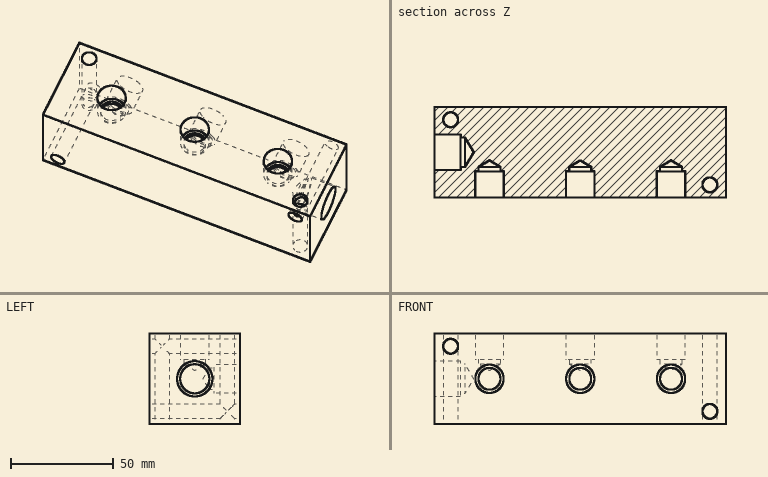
import cadquery as cq
import math

LENGTH = 142.9
SECTION = 44.5
HALF_LENGTH = LENGTH / 2
HALF_SECTION = SECTION / 2

PORT_BORE_DIAMETER = 13.9
PORT_DRILL_DIAMETER = 10.7
END_BORE_DIAMETER = 17.3
END_DRILL_DIAMETER = 14.3
BORE_DEPTH = 12.9
DRILL_DEPTH = 15.0
DRILL_POINT_ANGLE = 118.0
PORT_COUNT = 3
PORT_PITCH = SECTION

MOUNT_DIAMETER = 7.1
MOUNT_END_INSET = 8.0
MOUNT_SIDE_INSET = 6.3
MOUNT_X = HALF_LENGTH - MOUNT_END_INSET
MOUNT_OFFSET = HALF_SECTION - MOUNT_SIDE_INSET


def stepped_port(bore_diameter, drill_diameter, mouth, inward):
    """Cutter for a port that starts at the mouth and runs along the inward direction."""
    bore_radius = bore_diameter / 2
    drill_radius = drill_diameter / 2
    point_length = drill_radius / math.tan(math.radians(DRILL_POINT_ANGLE / 2))
    axis = cq.Vector(*inward)
    start = cq.Vector(*mouth)
    bore = cq.Solid.makeCylinder(bore_radius, BORE_DEPTH, start, axis)
    drill = cq.Solid.makeCylinder(drill_radius, DRILL_DEPTH, start, axis)
    point = cq.Solid.makeCone(drill_radius, 0, point_length, start + axis * DRILL_DEPTH, axis)
    return cq.Workplane(bore).union(cq.Workplane(drill)).union(cq.Workplane(point))


def mounting_hole(start, direction):
    """Cutter for a hole that crosses the whole square section."""
    return cq.Solid.makeCylinder(MOUNT_DIAMETER / 2, SECTION, cq.Vector(*start), cq.Vector(*direction))


result = cq.Workplane("XY").box(LENGTH, SECTION, SECTION)

for index in range(PORT_COUNT):
    port_x = (index - (PORT_COUNT - 1) / 2) * PORT_PITCH
    front_mouth = (port_x, -HALF_SECTION, 0)
    top_mouth = (port_x, 0, HALF_SECTION)
    result = result.cut(stepped_port(PORT_BORE_DIAMETER, PORT_DRILL_DIAMETER, front_mouth, (0, 1, 0)))
    result = result.cut(stepped_port(PORT_BORE_DIAMETER, PORT_DRILL_DIAMETER, top_mouth, (0, 0, -1)))

end_mouth = (-HALF_LENGTH, 0, 0)
result = result.cut(stepped_port(END_BORE_DIAMETER, END_DRILL_DIAMETER, end_mouth, (1, 0, 0)))

for side in (-1, 1):
    hole_x = side * MOUNT_X
    hole_offset = -side * MOUNT_OFFSET
    result = result.cut(mounting_hole((hole_x, -HALF_SECTION, hole_offset), (0, 1, 0)))
    result = result.cut(mounting_hole((hole_x, hole_offset, -HALF_SECTION), (0, 0, 1)))